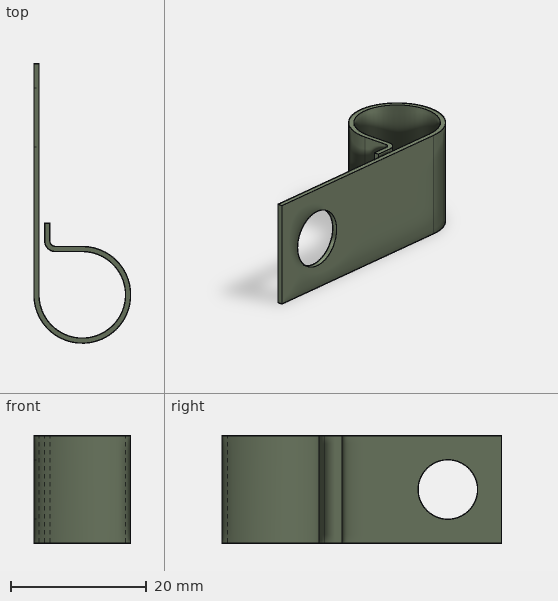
import cadquery as cq
import math

length = 41.25
width = 15.9
loop_diameter = 14.32
thickness = 0.8
lip_gap = 0.83
lip_tip_height = 17.75
hole_diameter = 8.75
hole_edge_distance = 7.92

outer_radius = loop_diameter / 2
inner_radius = outer_radius - thickness
strip_end = length - outer_radius
lip_tip = lip_tip_height - outer_radius
bend_inner = thickness
bend_outer = bend_inner + thickness
lip_left = -inner_radius + lip_gap
lip_right = lip_left + thickness
bend_x = lip_left + bend_outer
bend_y = inner_radius + bend_outer
diagonal = math.sqrt(0.5)


def bend_middle(radius):
    """Midpoint of the quarter bend between the loop and the lip."""
    return (bend_x - radius * diagonal, bend_y - radius * diagonal)


def loop_middle(radius):
    """Midpoint of the three-quarter loop."""
    return (radius * diagonal, -radius * diagonal)


def clip_band():
    """Bent strip: flat leg, loop, short straight and upturned lip."""
    return (
        cq.Workplane("XY")
        .moveTo(-outer_radius, strip_end)
        .lineTo(-outer_radius, 0)
        .threePointArc(loop_middle(outer_radius), (0, outer_radius))
        .lineTo(bend_x, outer_radius)
        .threePointArc(bend_middle(bend_inner), (lip_right, bend_y))
        .lineTo(lip_right, lip_tip)
        .lineTo(lip_left, lip_tip)
        .lineTo(lip_left, bend_y)
        .threePointArc(bend_middle(bend_outer), (bend_x, inner_radius))
        .lineTo(0, inner_radius)
        .threePointArc(loop_middle(inner_radius), (-inner_radius, 0))
        .lineTo(-inner_radius, strip_end)
        .close()
        .extrude(width)
    )


def mounting_hole():
    """Cylinder that pierces the flat leg along X."""
    return (
        cq.Workplane("YZ", origin=(-outer_radius, 0, 0))
        .center(strip_end - hole_edge_distance, width / 2)
        .circle(hole_diameter / 2)
        .extrude(thickness)
    )


result = clip_band().cut(mounting_hole())